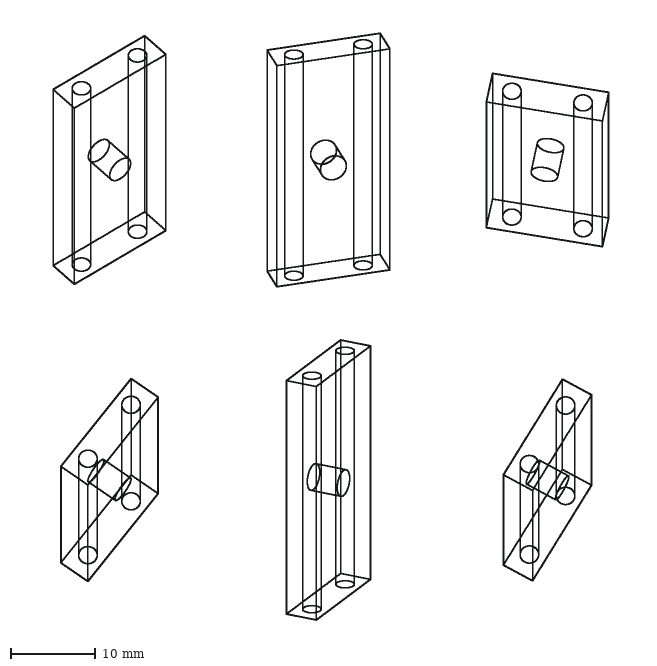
import cadquery as cq

thickness = 4.0
width = 14.0
height = 30.0

cross_hole_diameter = 3.2

long_hole_diameter = 2.2
long_hole_spacing = 8.58

plate = cq.Workplane("XY").box(thickness, width, height)

plate = plate.faces("<X").workplane(origin=(0, 0, 0)).hole(cross_hole_diameter)

long_hole_centres = [(0, -long_hole_spacing / 2), (0, long_hole_spacing / 2)]
result = (
    plate.faces(">Z")
    .workplane(origin=(0, 0, 0))
    .pushPoints(long_hole_centres)
    .hole(long_hole_diameter)
)